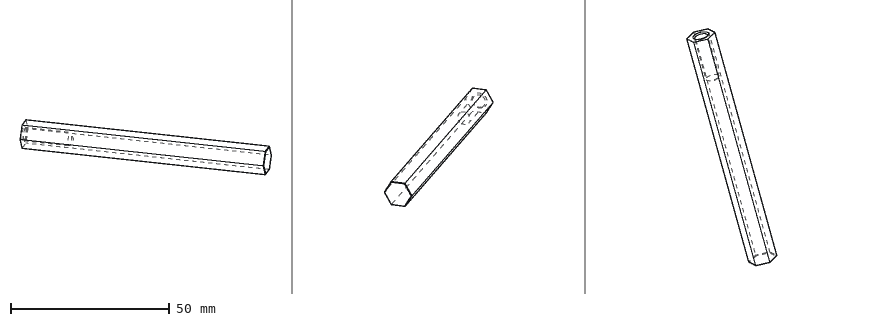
import cadquery as cq
import math

length = 80.0
across_flats = 8.0
across_corners = across_flats / math.cos(math.radians(30))

end_chamfer = 0.2

hole_diameter = 4.2
hole_depth = 15.0
countersink_diameter = 5.1
countersink_angle = math.radians(45)
drill_point_angle = math.radians(59)


def revolve_about_x(profile_points):
    """Turn a closed (x, radius) outline about the X axis."""
    return cq.Workplane("XY").polyline(profile_points).close().revolve(360, (0, 0, 0), (1, 0, 0))


def hexagonal_bar():
    """Bar with flats facing up and down, corners on +Y and -Y, and a bevelled +X end."""
    bar = cq.Workplane("YZ").polygon(6, across_corners).extrude(length / 2, both=True)
    return bar.faces(">X").chamfer(end_chamfer)


def drilled_hole():
    """Countersunk hole with a conical drill point at its bottom."""
    radius = hole_diameter / 2
    mouth_radius = countersink_diameter / 2
    mouth = -length / 2
    countersink_depth = (mouth_radius - radius) / math.tan(countersink_angle)
    point_length = radius / math.tan(drill_point_angle)
    return revolve_about_x([
        (mouth, 0),
        (mouth, mouth_radius),
        (mouth + countersink_depth, radius),
        (mouth + hole_depth, radius),
        (mouth + hole_depth + point_length, 0),
    ])


result = hexagonal_bar().cut(drilled_hole())